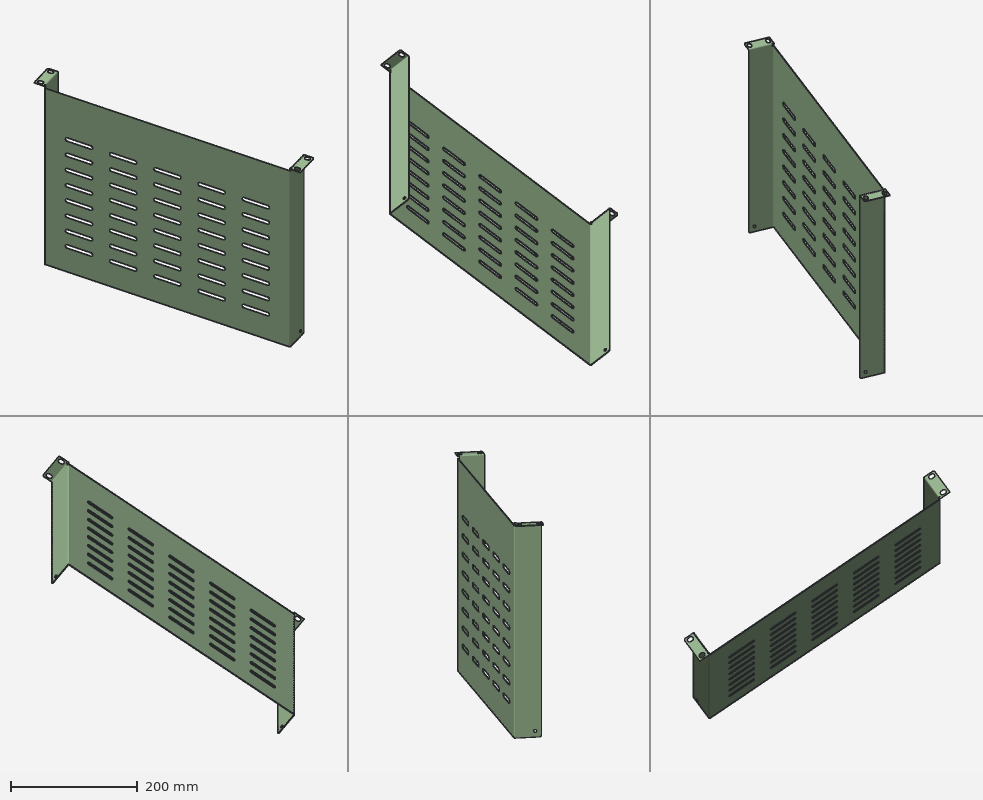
import cadquery as cq
import math

width = 483.0
depth = 44.0
height = 350.0
sheet = 1.5

inner_bend = 0.5
outer_bend = inner_bend + sheet
ear_inner_bend = 1.0
ear_outer_bend = ear_inner_bend + sheet

ear_reach = 18.5
ear_corner = 3.0
ear_slot_length = 10.0
ear_slot_width = 7.0
ear_slot_spacing = 32.0
ear_slot_inset = 8.5
wall_corner = 3.0
wall_hole_diameter = 5.0
wall_hole_from_back = 10.0
wall_hole_height = 10.0

notch_depth = 3.5
panel_drop = 5.0

slot_columns = 5
slot_rows = 8
slot_length = 49.5
slot_width = 7.0
column_pitch = 80.0
row_pitch = 30.0
lowest_row = 49.7

wall_x = width / 2 - ear_reach
body_width = 2 * wall_x


def make_channel():
    """U-shaped body: front panel with a side wall bent back at each end."""
    outside = (
        cq.Workplane("XY")
        .box(body_width, depth, height, centered=(True, False, False))
        .edges("|Z and <Y")
        .fillet(outer_bend)
    )
    inside = (
        cq.Workplane("XY")
        .box(body_width - 2 * sheet, depth, height, centered=(True, False, False))
        .edges("|Z and <Y")
        .fillet(inner_bend)
        .translate((0, sheet, 0))
    )
    channel = outside.cut(inside)
    return channel.edges("|X and >Y and <Z").fillet(wall_corner)


def cut_top_edge(channel):
    """Lower the panel edge and make room for the ears to bend outward."""
    panel_top = cq.Workplane("XY").box(width, notch_depth, panel_drop, centered=(True, False, False))
    wall_top = cq.Workplane("XY").box(width, depth, ear_outer_bend, centered=(True, False, False))
    channel = channel.cut(panel_top.translate((0, 0, height - panel_drop)))
    return channel.cut(wall_top.translate((0, 0, height - ear_outer_bend)))


def make_ear():
    """Right-hand mounting ear, bent outward from the top of the side wall.

    Over the notch the ear stays flat up to the inner face of the wall.
    """
    wall_inner_x = wall_x - sheet
    bend_x = wall_inner_x + ear_outer_bend
    bend_z = height - ear_outer_bend
    diagonal = math.sqrt(0.5)
    ear = (
        cq.Workplane("XZ")
        .moveTo(wall_inner_x, bend_z)
        .threePointArc(
            (bend_x - ear_outer_bend * diagonal, bend_z + ear_outer_bend * diagonal),
            (bend_x, height),
        )
        .lineTo(width / 2, height)
        .lineTo(width / 2, height - sheet)
        .lineTo(bend_x, height - sheet)
        .threePointArc(
            (bend_x - ear_inner_bend * diagonal, bend_z + ear_inner_bend * diagonal),
            (wall_x, bend_z),
        )
        .close()
        .extrude(-depth)
    )
    ear = ear.edges("|Z and >X").edges(">Y").fillet(ear_corner)
    slots = (
        cq.Workplane("XY", origin=(width / 2 - ear_slot_inset, depth / 2, height - sheet))
        .rarray(5, ear_slot_spacing, 1, 2)
        .slot2D(ear_slot_length, ear_slot_width)
        .extrude(sheet)
    )
    front_strip = (
        cq.Workplane("XY")
        .box(width / 2 - wall_inner_x, notch_depth, sheet, centered=False)
        .translate((wall_inner_x, 0, height - sheet))
    )
    front_clearance = cq.Workplane("XY").box(width, notch_depth, height, centered=(True, False, False))
    return ear.cut(front_clearance).union(front_strip).cut(slots)


def make_wall_holes():
    """Small hole through both side walls near their lower back corner."""
    return (
        cq.Workplane("YZ")
        .center(depth - wall_hole_from_back, wall_hole_height)
        .circle(wall_hole_diameter / 2)
        .extrude(width / 2, both=True)
    )


def make_vent_slots():
    """Grid of horizontal slots through the front panel."""
    middle_row = lowest_row + (slot_rows - 1) * row_pitch / 2
    return (
        cq.Workplane("XZ")
        .center(0, middle_row)
        .rarray(column_pitch, row_pitch, slot_columns, slot_rows)
        .slot2D(slot_length, slot_width)
        .extrude(-sheet)
    )


right_ear = make_ear()
result = cut_top_edge(make_channel()).cut(make_wall_holes()).cut(make_vent_slots())
result = result.union(right_ear).union(right_ear.mirror("YZ"))
result = result.translate((0, -depth / 2, -height / 2))